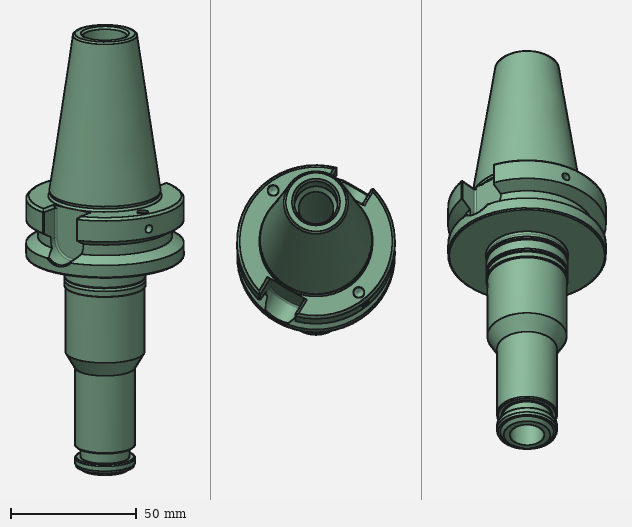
import cadquery as cq
import math

LENGTH = 180.9

GAUGE_Z = 115.6
GAUGE_RADIUS = 44.5 / 2
TAPER_SLOPE = 7 / 48
TAPER_TOP_CHAMFER = 0.7
UNDERCUT_DEPTH = 0.4
UNDERCUT_FOOT_RADIUS = 22.6

FLANGE_TOP = 113.5
FLANGE_BOTTOM = 88.5
FLANGE_RADIUS = 63.0 / 2
FLANGE_TOP_CHAMFER = 1.0
FLANGE_BOTTOM_CHAMFER = 0.5
V_GROOVE_RADIUS = 53.5 / 2
V_GROOVE_MIDDLE = 98.8
V_GROOVE_FLOOR_WIDTH = 4.3
V_GROOVE_MOUTH_WIDTH = 9.8

COLLAR_RADIUS = 32.5 / 2
COLLAR_BOTTOM = 76.3
COLLAR_BOTTOM_TAPER = 0.4
COLLAR_ROOT_RADIUS = 16.5
COLLAR_ROOT_HEIGHT = 1.0
RING_GROOVE_TOPS = (86.1, 80.1)
RING_GROOVE_HEIGHT = 1.6
RING_GROOVE_STEP = 0.5

BODY_RADIUS = 31.7 / 2
BODY_BOTTOM = 48.7
NOSE_RADIUS = 24.0 / 2
NOSE_TOP = 42.1
NOSE_BOTTOM = 9.5
EDGE_CHAMFER = 0.5
NECK_CHAMFER = 0.4
NECK_RADIUS = 19.5 / 2
RING_TOP = 5.0
RING_BEVEL_TOP = 2.5
RING_BOTTOM = 1.5
RING_BOTTOM_RADIUS = 11.5
TIP_TOP_RADIUS = 10.7
TIP_RADIUS = 9.2

THROUGH_RADIUS = 13.7 / 2
THREAD_RADIUS = 17.4 / 2
THREAD_DEPTH = 9.4
MOUTH_RADIUS = 19.2 / 2

SLOT_HALF_WIDTH = 16.1 / 2
SLOT_FLOOR = 22.5
SLOT_ARC_Z = 100.2
SLOT_TOP_CHAMFER = 1.0
SLOT_EDGE_CHAMFER = 0.5
SLOT_FLOOR_FILLET = 0.7

COOLANT_ANGLES = (160, -20)
COOLANT_CIRCLE_RADIUS = 27.0
COOLANT_DIAMETER = 4.3
COOLANT_DEPTH = 0.9
RADIAL_HOLE_DIAMETER = 3.3
RADIAL_HOLE_DEPTH = 4.0
RADIAL_HOLE_Z = 107.5
DRILL_POINT_ANGLE = 118


def taper_radius(z):
    return GAUGE_RADIUS - (z - GAUGE_Z) * TAPER_SLOPE


def revolve(points):
    return cq.Workplane("XZ").polyline(points).close().revolve(360, (0, 0), (0, 1))


def ring_groove_points(top):
    return [
        (COLLAR_RADIUS, top),
        (BODY_RADIUS, top - RING_GROOVE_STEP),
        (COLLAR_RADIUS, top - RING_GROOVE_HEIGHT),
    ]


def outer_body():
    undercut_z = (GAUGE_Z + FLANGE_TOP) / 2
    chamfer_z = LENGTH - TAPER_TOP_CHAMFER
    mouth = V_GROOVE_MOUTH_WIDTH / 2
    floor = V_GROOVE_FLOOR_WIDTH / 2
    points = [
        (0, LENGTH),
        (taper_radius(LENGTH) - TAPER_TOP_CHAMFER, LENGTH),
        (taper_radius(chamfer_z), chamfer_z),
        (GAUGE_RADIUS, GAUGE_Z),
        (GAUGE_RADIUS - UNDERCUT_DEPTH, undercut_z),
        (UNDERCUT_FOOT_RADIUS, FLANGE_TOP),
        (FLANGE_RADIUS - FLANGE_TOP_CHAMFER, FLANGE_TOP),
        (FLANGE_RADIUS, FLANGE_TOP - FLANGE_TOP_CHAMFER),
        (FLANGE_RADIUS, V_GROOVE_MIDDLE + mouth),
        (V_GROOVE_RADIUS, V_GROOVE_MIDDLE + floor),
        (V_GROOVE_RADIUS, V_GROOVE_MIDDLE - floor),
        (FLANGE_RADIUS, V_GROOVE_MIDDLE - mouth),
        (FLANGE_RADIUS, FLANGE_BOTTOM + FLANGE_BOTTOM_CHAMFER),
        (FLANGE_RADIUS - FLANGE_BOTTOM_CHAMFER, FLANGE_BOTTOM),
        (COLLAR_ROOT_RADIUS, FLANGE_BOTTOM),
        (COLLAR_RADIUS, FLANGE_BOTTOM - COLLAR_ROOT_HEIGHT),
    ]
    for top in RING_GROOVE_TOPS:
        points += ring_groove_points(top)
    points += [
        (COLLAR_RADIUS, COLLAR_BOTTOM),
        (BODY_RADIUS, COLLAR_BOTTOM - COLLAR_BOTTOM_TAPER),
        (BODY_RADIUS, BODY_BOTTOM),
        (NOSE_RADIUS, NOSE_TOP),
        (NOSE_RADIUS, NOSE_BOTTOM + EDGE_CHAMFER),
        (NOSE_RADIUS - EDGE_CHAMFER, NOSE_BOTTOM),
        (NECK_RADIUS + NECK_CHAMFER, NOSE_BOTTOM),
        (NECK_RADIUS, NOSE_BOTTOM - NECK_CHAMFER),
        (NECK_RADIUS, RING_TOP),
        (NOSE_RADIUS - EDGE_CHAMFER, RING_TOP),
        (NOSE_RADIUS, RING_TOP - EDGE_CHAMFER),
        (NOSE_RADIUS, RING_BEVEL_TOP),
        (RING_BOTTOM_RADIUS, RING_BOTTOM),
        (TIP_TOP_RADIUS, RING_BOTTOM),
        (TIP_RADIUS, 0),
        (0, 0),
    ]
    return revolve(points)


def central_bore():
    thread_bottom = LENGTH - THREAD_DEPTH
    return revolve([
        (0, LENGTH),
        (MOUTH_RADIUS, LENGTH),
        (THREAD_RADIUS, LENGTH - (MOUTH_RADIUS - THREAD_RADIUS)),
        (THREAD_RADIUS, thread_bottom),
        (THROUGH_RADIUS, thread_bottom - (THREAD_RADIUS - THROUGH_RADIUS)),
        (THROUGH_RADIUS, 0),
        (0, 0),
    ])


def drive_slot():
    """Cutter for the -Y slot: a round-ended slot with filleted floor and a flared top edge."""
    reach = FLANGE_RADIUS - SLOT_FLOOR + 1.8
    floor_plane = cq.Workplane("XZ", origin=(0, -SLOT_FLOOR, 0))
    slot = (
        floor_plane.moveTo(-SLOT_HALF_WIDTH, FLANGE_TOP)
        .lineTo(-SLOT_HALF_WIDTH, SLOT_ARC_Z)
        .threePointArc((0, SLOT_ARC_Z - SLOT_HALF_WIDTH), (SLOT_HALF_WIDTH, SLOT_ARC_Z))
        .lineTo(SLOT_HALF_WIDTH, FLANGE_TOP)
        .close()
        .extrude(reach)
    )
    floor_edges = cq.selectors.BoxSelector(
        (-SLOT_HALF_WIDTH - 1.8, -SLOT_FLOOR - 0.2, FLANGE_BOTTOM),
        (SLOT_HALF_WIDTH + 1.8, -SLOT_FLOOR + 0.2, FLANGE_TOP - 0.2),
    )
    slot = slot.edges(floor_edges).fillet(SLOT_FLOOR_FILLET)
    flare = (
        floor_plane.moveTo(-SLOT_HALF_WIDTH - SLOT_TOP_CHAMFER, FLANGE_TOP)
        .lineTo(-SLOT_HALF_WIDTH, FLANGE_TOP - SLOT_TOP_CHAMFER)
        .lineTo(SLOT_HALF_WIDTH, FLANGE_TOP - SLOT_TOP_CHAMFER)
        .lineTo(SLOT_HALF_WIDTH + SLOT_TOP_CHAMFER, FLANGE_TOP)
        .close()
        .extrude(reach)
    )
    return slot.union(flare)


def is_slot_rim(edge):
    """True for slot edges lying on the outer cylinder of the flange."""
    points = [edge.startPoint(), edge.positionAt(0.5), edge.endPoint()]
    return all(
        abs(math.hypot(point.x, point.y) - FLANGE_RADIUS) < 0.02 and abs(point.x) < SLOT_HALF_WIDTH + 0.02
        for point in points
    )


def drill(diameter, depth):
    """Drill pointing down -Z from the origin, with a conical point below the given depth."""
    radius = diameter / 2
    point_height = radius / math.tan(math.radians(DRILL_POINT_ANGLE / 2))
    return revolve([(0, 0), (radius, 0), (radius, -depth), (0, -depth - point_height)])


def coolant_outlet(angle):
    inlet = drill(COOLANT_DIAMETER, COOLANT_DEPTH).translate((COOLANT_CIRCLE_RADIUS, 0, FLANGE_TOP))
    side_hole = (
        drill(RADIAL_HOLE_DIAMETER, RADIAL_HOLE_DEPTH)
        .rotate((0, 0, 0), (0, 1, 0), 90)
        .translate((FLANGE_RADIUS, 0, RADIAL_HOLE_Z))
    )
    return inlet.union(side_hole).rotate((0, 0, 0), (0, 0, 1), angle)


result = outer_body().cut(central_bore())

for turn in (0, 180):
    result = result.cut(drive_slot().rotate((0, 0, 0), (0, 0, 1), turn))
rim_edges = [edge for edge in result.edges().vals() if is_slot_rim(edge)]
result = result.newObject(rim_edges).chamfer(SLOT_EDGE_CHAMFER)

for angle in COOLANT_ANGLES:
    result = result.cut(coolant_outlet(angle))